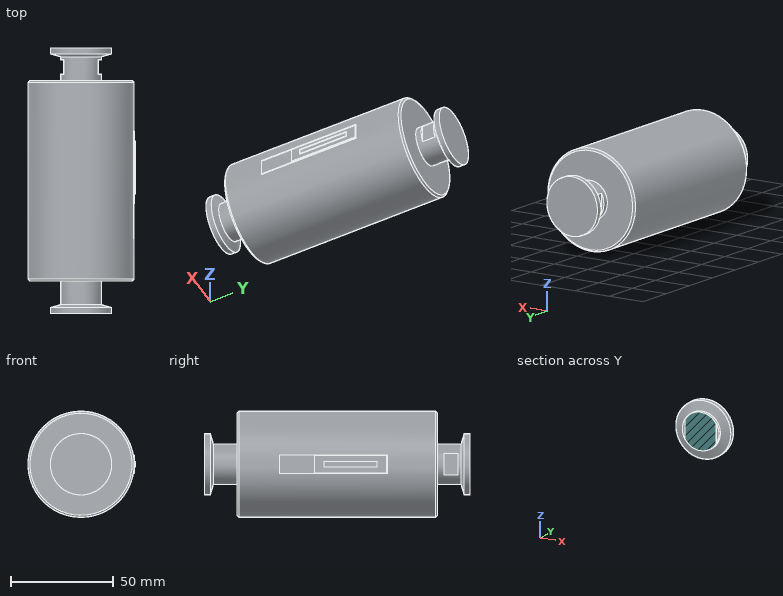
import cadquery as cq

TOTAL_LENGTH = 130.0
BODY_DIAMETER = 52.0
BODY_LENGTH = 98.3
BODY_CHAMFER = 1.0

NECK_DIAMETER = 20.0
FLANGE_DIAMETER = 30.0
FLANGE_RIM = 3.0
FLANGE_TAPER = 1.4

FLATS_WIDTH = 17.0
FLATS_LENGTH = 6.9
FLATS_CENTER_Y = 55.6

BASE_LENGTH = 52.6
BASE_WIDTH = 9.1
BASE_CENTER_Y = -1.8
PLATE_LENGTH = 35.4
PLATE_WIDTH = 8.3
PLATE_TOP_X = 26.3
RIDGE_LENGTH = 26.0
RIDGE_WIDTH = 2.9
RIDGE_TOP_X = 26.6
PLATE_CENTER_Y = 6.5
PAD_ROOT_X = 24.7


def turned_body():
    """Revolve the chamfered cylinder, necks and tapered flanges about Y."""
    end = TOTAL_LENGTH / 2
    rim = end - FLANGE_RIM
    taper = rim - FLANGE_TAPER
    shoulder = BODY_LENGTH / 2
    body_radius = BODY_DIAMETER / 2
    neck_radius = NECK_DIAMETER / 2
    flange_radius = FLANGE_DIAMETER / 2
    upper_half = [
        (body_radius, shoulder - BODY_CHAMFER),
        (body_radius - BODY_CHAMFER, shoulder),
        (neck_radius, shoulder),
        (neck_radius, taper),
        (flange_radius, rim),
        (flange_radius, end),
        (0, end),
    ]
    lower_half = [(radius, -y) for radius, y in reversed(upper_half)]
    outline = cq.Workplane("XY").polyline(upper_half + lower_half).close()
    return outline.revolve(360, (0, 0, 0), (0, 1, 0))


def wrench_flats():
    """Return the material removed on both sides of the +Y neck."""
    neck_block = cq.Workplane("XY").box(NECK_DIAMETER, FLATS_LENGTH, NECK_DIAMETER)
    kept_core = cq.Workplane("XY").box(FLATS_WIDTH, FLATS_LENGTH, NECK_DIAMETER)
    return neck_block.cut(kept_core).translate((0, FLATS_CENTER_Y, 0))


def side_pad(length, width, center_y, top_x):
    """Return a flat rectangular pad rising from inside the body to top_x."""
    return (
        cq.Workplane("YZ", origin=(PAD_ROOT_X, center_y, 0))
        .rect(length, width)
        .extrude(top_x - PAD_ROOT_X)
    )


base = side_pad(BASE_LENGTH, BASE_WIDTH, BASE_CENTER_Y, BODY_DIAMETER / 2)
plate = side_pad(PLATE_LENGTH, PLATE_WIDTH, PLATE_CENTER_Y, PLATE_TOP_X)
ridge = side_pad(RIDGE_LENGTH, RIDGE_WIDTH, PLATE_CENTER_Y, RIDGE_TOP_X)
result = turned_body().cut(wrench_flats()).union(base).union(plate).union(ridge)